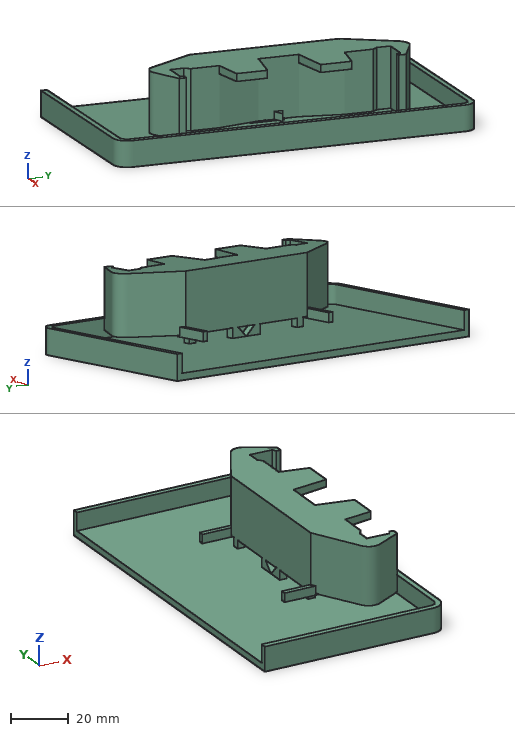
import cadquery as cq

TRAY_X = 72.7
TRAY_Y = 134.9
TRAY_HEIGHT = 9.6
FLOOR = 2.5
RIM = 2.3
TRAY_CORNER_RADIUS = 5.3

CLIP_TOP = 28.9
CLIP_BOTTOM = 6.2
TOP_DROP = 0.4
BACK_X = 40.6
BACK_HALF = 28.0
SHOULDER = (52.9, 50.2)
SHOULDER_RADIUS = 4.7
HOOK_X = 67.0
HOOK_OUTER_Y = 42.5
HOOK_INNER_Y = 39.8
HOOK_LIP = 1.8
HOOK_SLOPE = 0.7
ARM_INNER_Y = 41.3
POCKET_X = 55.6
POCKET_STEP_Y = 36.2
FACE_X = 57.1
FACE_OUTER_Y = 34.3

TONGUE_THICKNESS = 2.8
TONGUE_TIP_X = 68.4
TONGUE_TIP_INNER = 10.0
TONGUE_TIP_OUTER = 21.6
TONGUE_ROOT_OUTER = 23.5
NOTCH_X = 54.0
NOTCH_HALF = 7.5

POINTER_LENGTH = 3.8
POINTER_HALF = 1.6
POINTER_HEIGHT = 2.8
PRONG_TIP_X = 29.1
PRONG_WIDTH = 1.9
PRONG_HEIGHT = 3.5
PRONG_BOTTOM = 5.7
PRONG_EMBED = 1.9
FOOT_WIDTH = 2.8
FOOT_BOTTOM = 3.0
FOOT_INNER = 23.5
LUG_HALF = 6.3
LUG_DEPTH = 2.8
VEE_HALF = 3.8


def box(x0, x1, y0, y1, z0, z1):
    """Box between opposite corners."""
    return cq.Workplane("XY").box(x1 - x0, y1 - y0, z1 - z0, centered=False).translate((x0, y0, z0))


def tray():
    half = TRAY_Y / 2
    outer = box(0, TRAY_X, -half, half, 0, TRAY_HEIGHT)
    outer = outer.edges("|Z and >X").fillet(TRAY_CORNER_RADIUS)
    inner = box(0, TRAY_X - RIM, RIM - half, half - RIM, FLOOR, TRAY_HEIGHT)
    inner = inner.edges("|Z and >X").fillet(TRAY_CORNER_RADIUS - RIM)
    return outer.cut(inner)


def clip_block():
    half_outline = [
        (BACK_X, BACK_HALF),
        SHOULDER,
        (HOOK_X, HOOK_OUTER_Y),
        (HOOK_X, HOOK_INNER_Y),
        (HOOK_X - HOOK_LIP, HOOK_INNER_Y),
        (HOOK_X - HOOK_LIP - HOOK_SLOPE, ARM_INNER_Y),
        (POCKET_X, ARM_INNER_Y),
        (POCKET_X, POCKET_STEP_Y),
        (FACE_X, FACE_OUTER_Y),
        (FACE_X, TONGUE_ROOT_OUTER),
        (NOTCH_X, NOTCH_HALF),
    ]
    mirrored = [(x, -y) for x, y in reversed(half_outline)]
    block = cq.Workplane("XY").workplane(offset=CLIP_BOTTOM)
    block = block.polyline(half_outline + mirrored).close().extrude(CLIP_TOP - CLIP_BOTTOM)
    return block.edges("|Z and (>Y or <Y)").fillet(SHOULDER_RADIUS)


def tongue(side):
    outline = [
        (FACE_X, side * TONGUE_ROOT_OUTER),
        (TONGUE_TIP_X, side * TONGUE_TIP_OUTER),
        (TONGUE_TIP_X, side * TONGUE_TIP_INNER),
        (NOTCH_X, side * NOTCH_HALF),
    ]
    bottom = CLIP_TOP - TOP_DROP - TONGUE_THICKNESS
    plate = cq.Workplane("XY").workplane(offset=bottom)
    return plate.polyline(outline).close().extrude(CLIP_TOP - bottom)


def prong(side):
    inner, outer = side * BACK_HALF, side * (BACK_HALF + PRONG_WIDTH)
    return box(PRONG_TIP_X, BACK_X + PRONG_EMBED, min(inner, outer), max(inner, outer),
               PRONG_BOTTOM, PRONG_BOTTOM + PRONG_HEIGHT)


def foot(side):
    inner, outer = side * FOOT_INNER, side * (FOOT_INNER + FOOT_WIDTH)
    return box(BACK_X, BACK_X + FOOT_WIDTH, min(inner, outer), max(inner, outer),
               FOOT_BOTTOM, CLIP_BOTTOM)


def pointer():
    outline = [(NOTCH_X, -POINTER_HALF), (NOTCH_X + POINTER_LENGTH, 0), (NOTCH_X, POINTER_HALF)]
    base = cq.Workplane("XY").workplane(offset=CLIP_BOTTOM)
    return base.polyline(outline).close().extrude(POINTER_HEIGHT)


def vee_lug():
    """Central lug resting on the tray floor, split by a V opening along X."""
    lug = box(BACK_X, BACK_X + LUG_DEPTH, -LUG_HALF, LUG_HALF, FLOOR, CLIP_BOTTOM)
    outline = [(-VEE_HALF, CLIP_BOTTOM), (VEE_HALF, CLIP_BOTTOM), (0, FLOOR)]
    vee = cq.Workplane("YZ").workplane(offset=BACK_X).polyline(outline).close().extrude(LUG_DEPTH)
    return lug.cut(vee)


def top_slope():
    """Wedge that slopes the top face down toward +X."""
    outline = [(BACK_X, CLIP_TOP), (TONGUE_TIP_X, CLIP_TOP), (TONGUE_TIP_X, CLIP_TOP - TOP_DROP)]
    return cq.Workplane("XZ").polyline(outline).close().extrude(TRAY_Y / 2, both=True)


def clip():
    body = clip_block().union(vee_lug()).union(pointer())
    for side in (-1, 1):
        body = body.union(tongue(side)).union(prong(side)).union(foot(side))
    return body.cut(top_slope())


result = cq.Compound.makeCompound([tray().val(), *clip().solids().vals()])